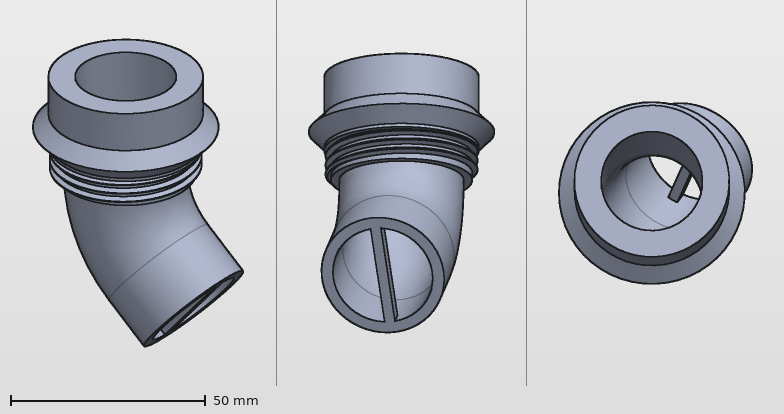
import cadquery as cq
import math

pipe_diameter = 32.0
bore_diameter = 26.0
bend_radius = 30.0
bend_angle = 50.0
outlet_length = 15.0

neck_diameter = 36.35
neck_height = 8.0
collar_diameter = 39.8
lip_height = 0.9
flange_diameter = 47.8
flange_lower_bevel_height = 4.1
flange_upper_bevel_height = (flange_diameter - collar_diameter) / 2
collar_height = 10.8

thread_pitch = 2.46
thread_depth = 1.4
thread_base_width = 1.6
thread_crest_width = 0.2
thread_lower_end = 1.25
thread_crest_height = 2.16
thread_overlap = 0.3
thread_turns = 5
thread_turns_below = 2

bar_width = 2.7
bar_length = 4.0

lip_base = neck_height
flange_base = lip_base + lip_height
flange_rim = flange_base + flange_lower_bevel_height
collar_base = flange_rim + flange_upper_bevel_height
top = collar_base + collar_height


def elbow(diameter):
    """Round bar along the bend and the straight outlet."""
    bend = (
        cq.Workplane("XY")
        .circle(diameter / 2)
        .revolve(bend_angle, (bend_radius, 0), (bend_radius, -1))
    )
    outlet = outlet_plane().circle(diameter / 2).extrude(outlet_length)
    return bend.union(outlet)


def outlet_plane():
    """Workplane at the end of the bend: normal along the outlet, local X along +Y."""
    angle = math.radians(bend_angle)
    centre = (bend_radius * (1 - math.cos(angle)), 0, -bend_radius * math.sin(angle))
    axis = (math.sin(angle), 0, -math.cos(angle))
    return cq.Workplane(cq.Plane(origin=centre, xDir=(0, 1, 0), normal=axis))


def head():
    """Turned neck, lip, double-bevelled flange and collar."""
    neck_radius = neck_diameter / 2
    collar_radius = collar_diameter / 2
    profile = [
        (0, 0),
        (neck_radius, 0),
        (neck_radius, lip_base),
        (collar_radius, lip_base),
        (collar_radius, flange_base),
        (flange_diameter / 2, flange_rim),
        (collar_radius, collar_base),
        (collar_radius, top),
        (0, top),
    ]
    return cq.Workplane("XZ").polyline(profile).close().revolve(360, (0, 0), (0, 1))


def threaded_core():
    """Neck core with its helical ridge, trimmed level at the lower end and inside the lip."""
    neck_radius = neck_diameter / 2
    helix_height = thread_turns * thread_pitch
    start_height = thread_crest_height - thread_turns_below * thread_pitch
    flank_width = (thread_base_width - thread_crest_width) / 2
    root_half = thread_base_width / 2 + thread_overlap * flank_width / thread_depth
    crest_half = thread_crest_width / 2
    root_radius = neck_radius - thread_overlap
    crest_radius = neck_radius + thread_depth
    section = [
        (root_radius, start_height - root_half),
        (crest_radius, start_height - crest_half),
        (crest_radius, start_height + crest_half),
        (root_radius, start_height + root_half),
    ]
    helix = cq.Wire.makeHelix(
        thread_pitch, helix_height, neck_radius, center=cq.Vector(0, 0, start_height)
    )
    ridge = cq.Workplane("XZ").polyline(section).close().sweep(cq.Workplane(helix), isFrenet=True)
    rod = (
        cq.Workplane("XY")
        .workplane(offset=start_height - thread_pitch)
        .circle(neck_radius)
        .extrude(helix_height + 2 * thread_pitch)
    )
    trim_height = lip_base + lip_height / 2 - thread_lower_end
    trim = (
        cq.Workplane("XY")
        .workplane(offset=thread_lower_end)
        .rect(flange_diameter, flange_diameter)
        .extrude(trim_height)
    )
    return rod.union(ridge).intersect(trim)


def outlet_bar():
    """Bar spanning the bore at the mouth of the outlet."""
    bar_span = (bore_diameter + pipe_diameter) / 2
    return (
        outlet_plane()
        .workplane(offset=outlet_length - bar_length)
        .rect(bar_width, bar_span)
        .extrude(bar_length)
    )


bore = elbow(bore_diameter).union(cq.Workplane("XY").circle(bore_diameter / 2).extrude(top))
body = head().union(threaded_core()).union(elbow(pipe_diameter)).cut(bore)
result = body.union(outlet_bar())